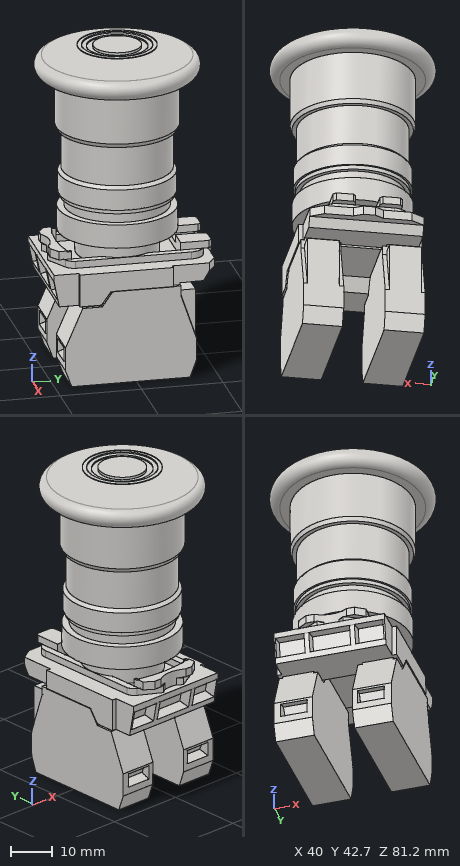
import cadquery as cq
import math


TOTAL_HEIGHT = 81.2
ADAPTER_TOP = 28.5
CLIP_PLATE_TOP = 30.3
ADAPTER_BOTTOM = 20.4
CONTACT_TOP = 23.55

HEAD_RADIUS = 20.0
HEAD_ROUND_RADIUS = 2.5
HEAD_BOTTOM = 73.4
RIM_OUTER_RADIUS = 9.6
RIM_INNER_RADIUS = 8.5
RIM_TOP = 80.95
CONE_TOP = 80.8
GROOVE_LEDGE_RADIUS = 7.4
GROOVE_LEDGE = 80.6
GROOVE_FLOOR = 80.3
LENS_RADIUS = 5.85
LENS_EDGE = 80.95

SKIRT_RADIUS = 15.0
SKIRT_BOTTOM = 60.0
SKIRT_CHAMFER_HEIGHT = 1.05
SKIRT_CHAMFER_WIDTH = 0.5
SLEEVE_RADIUS = 13.5
BEZEL_TOP = 49.85
BEZEL_RADIUS = 14.3
BEZEL_CHAMFER = 0.8
BEZEL_BOTTOM = 43.85
GASKET_RADIUS = 13.8
GASKET_BOTTOM = 42.8
NECK_RADIUS = 12.75
NUT_TOP = 40.2
NUT_RADIUS = 14.5
NUT_BOTTOM = 34.3
SHAFT_RADIUS = 10.15

CLIP_HALF_WIDTH = 10.3
CLIP_BACK = 19.5
CLIP_BACK_RADIUS = 3.6
CLIP_FRONT = -17.9
CLIP_FRONT_CURVE_START = -12.6
CLIP_FRONT_CORNER = (8.9, -14.7)
CLIP_FRONT_RADIUS = 2.85
CLIP_NOSE_HALF_WIDTH = 3.25
CLIP_NOTCH_HALF_WIDTH = 1.9
LUG_HALF_WIDTH = 8.45
BACK_LUG_TOP = 32.15
BACK_LUG_INNER = 2.9
BACK_LUG_FRONT = 13.65
BACK_LUG_BACK = 21.35
BACK_LUG_CHAMFER = (0.65, 0.8)
FRONT_LUG_INNER = 7.8
FRONT_LUG_BACK = -13.15
LEVER_TOP = 32.4
LEVER_BACK_SIDE = -14.2
LEVER_BACK_MIDDLE = -15.3
LEVER_CORNER_Y = -16.2
LEVER_FRONT_HALF_WIDTH = 6.1
SCALLOP_HALF_WIDTH = 4.1
SCALLOP_DEPTH = 1.2

ADAPTER_HALF_WIDTH = 13.9
ADAPTER_CHEEK_HALF_WIDTH = 15.0
ADAPTER_FRONT_TOP = -18.7
ADAPTER_FRONT_BOTTOM = -17.4
ADAPTER_BACK = 21.4
BACK_PLATE_THICKNESS = 2.2
BACK_SHOULDER = 19.4
BACK_CORNER_HALF_WIDTH = 10.6
BACK_FOOT = 18.0
BACK_UNDERSIDE = 24.0
STEP_TOP_Y = -4.95
STEP_BOTTOM_Y = -7.3
CHEEK_BACK = 10.4
CHEEK_FRONT = -12.6
TAB_TIP = 22.7
TAB_TIP_HALF_WIDTH = 1.5
TAB_BASE_HALF_WIDTH = 3.65
WINDOW_BOTTOM = 21.9
WINDOW_TOP = 26.9
WINDOW_DEPTH = 3.1
WINDOW_SPANS = ((-13.5, -6.3), (-5.1, 5.1), (6.3, 13.5))

CONTACT_OUTER = 14.8
CONTACT_INNER = 5.0
CONTACT_HALF_DEPTH = 16.1
CONTACT_FOOT_HALF_DEPTH = 14.5
CONTACT_FOOT_HEIGHT = 4.2
CONTACT_SHOULDER = 10.1
CONTACT_FRONT_TOP_Y = -11.85
CONTACT_BACK_TOP_Y = 12.3
CONTACT_BACK_SLOPE_TOP = 21.3
CONTACT_FRONT_TOP = 19.8
CONTACT_STEP_OFFSET = 0.5
CORE_OUTER = 13.9
CORE_INNER = 6.1
CORE_BACK_TOP = 22.2
CORE_TOP = 24.4
TERMINAL_OUTER = 13.0
TERMINAL_INNER = 6.3
TERMINAL_BOTTOM = 6.0
TERMINAL_TOP = 9.5
TERMINAL_FLOOR_RISE = 1.0
TERMINAL_DEPTH = 2.4
TERMINAL_SIDE_TAPER = 0.4


def box(x0, x1, y0, y1, z0, z1):
    """Axis-aligned box between two opposite corners."""
    return cq.Workplane("XY").box(x1 - x0, y1 - y0, z1 - z0, centered=False).translate((x0, y0, z0))


def side_profile(points, x0, x1):
    """Extrude a closed (Y, Z) outline from x0 to x1."""
    return cq.Workplane("YZ").polyline(points).close().extrude(x1 - x0).translate((x0, 0, 0))


def plan_profile(points, z0, z1):
    """Extrude a closed (X, Y) outline from z0 to z1."""
    return cq.Workplane("XY").workplane(offset=z0).polyline(points).close().extrude(z1 - z0)


def mirrored(points):
    """Complete an outline by adding the points mirrored in X, in reverse order."""
    return points + [(-x, y) for x, y in reversed(points)]


def both_sides(solid):
    """Join a solid with its mirror image across the YZ plane."""
    return solid.union(solid.mirror("YZ"))


def make_button():
    """Head, skirt, sleeve, bezel, nut and shaft as one turned body."""
    round_x = HEAD_RADIUS - HEAD_ROUND_RADIUS
    round_z = HEAD_BOTTOM + HEAD_ROUND_RADIUS
    run = round_x - RIM_OUTER_RADIUS
    rise = CONE_TOP - round_z
    reach = math.hypot(run, rise)
    tangent = math.atan2(rise, -run) - math.acos(HEAD_ROUND_RADIUS / reach)
    cone_end = (
        round_x + HEAD_ROUND_RADIUS * math.cos(tangent),
        round_z + HEAD_ROUND_RADIUS * math.sin(tangent),
    )
    skirt_chamfer_top = SKIRT_BOTTOM + SKIRT_CHAMFER_HEIGHT
    skirt_foot_radius = SKIRT_RADIUS - SKIRT_CHAMFER_WIDTH
    lens_rise = TOTAL_HEIGHT - LENS_EDGE
    lens_sphere = (LENS_RADIUS**2 + lens_rise**2) / (2 * lens_rise)
    half_radius = LENS_RADIUS / 2
    lens_middle = TOTAL_HEIGHT - lens_sphere + math.sqrt(lens_sphere**2 - half_radius**2)
    profile = (
        cq.Workplane("XZ")
        .moveTo(0, ADAPTER_TOP)
        .lineTo(SHAFT_RADIUS, ADAPTER_TOP)
        .lineTo(SHAFT_RADIUS, NUT_BOTTOM)
        .lineTo(NUT_RADIUS, NUT_BOTTOM)
        .lineTo(NUT_RADIUS, NUT_TOP)
        .lineTo(NECK_RADIUS, NUT_TOP)
        .lineTo(NECK_RADIUS, GASKET_BOTTOM)
        .lineTo(GASKET_RADIUS, GASKET_BOTTOM)
        .lineTo(GASKET_RADIUS, BEZEL_BOTTOM)
        .lineTo(BEZEL_RADIUS, BEZEL_BOTTOM)
        .lineTo(BEZEL_RADIUS, BEZEL_TOP - BEZEL_CHAMFER)
        .lineTo(SLEEVE_RADIUS, BEZEL_TOP)
        .lineTo(SLEEVE_RADIUS, SKIRT_BOTTOM)
        .lineTo(skirt_foot_radius, SKIRT_BOTTOM)
        .lineTo(SKIRT_RADIUS, skirt_chamfer_top)
        .lineTo(SKIRT_RADIUS, HEAD_BOTTOM)
        .lineTo(round_x, HEAD_BOTTOM)
        .threePointArc((HEAD_RADIUS, round_z), cone_end)
        .lineTo(RIM_OUTER_RADIUS, CONE_TOP)
        .lineTo(RIM_OUTER_RADIUS, RIM_TOP)
        .lineTo(RIM_INNER_RADIUS, RIM_TOP)
        .lineTo(RIM_INNER_RADIUS, GROOVE_LEDGE)
        .lineTo(GROOVE_LEDGE_RADIUS, GROOVE_LEDGE)
        .lineTo(GROOVE_LEDGE_RADIUS, GROOVE_FLOOR)
        .lineTo(LENS_RADIUS, GROOVE_FLOOR)
        .lineTo(LENS_RADIUS, LENS_EDGE)
        .threePointArc((half_radius, lens_middle), (0, TOTAL_HEIGHT))
        .close()
    )
    return profile.revolve(360, (0, 0, 0), (0, 1, 0))


def make_clip_plate():
    """Thin frame around the shaft with rounded back corners and a notched, tapered nose."""
    corner_x, corner_y = CLIP_FRONT_CORNER
    plate = (
        cq.Workplane("XY")
        .workplane(offset=ADAPTER_TOP)
        .moveTo(CLIP_NOSE_HALF_WIDTH, CLIP_FRONT)
        .lineTo(corner_x, corner_y)
        .radiusArc((CLIP_HALF_WIDTH, CLIP_FRONT_CURVE_START), -CLIP_FRONT_RADIUS)
        .lineTo(CLIP_HALF_WIDTH, CLIP_BACK - CLIP_BACK_RADIUS)
        .radiusArc((CLIP_HALF_WIDTH - CLIP_BACK_RADIUS, CLIP_BACK), -CLIP_BACK_RADIUS)
        .lineTo(0, CLIP_BACK)
        .lineTo(0, CLIP_FRONT)
        .close()
        .extrude(CLIP_PLATE_TOP - ADAPTER_TOP)
    )
    opening = (
        cq.Workplane("XY")
        .workplane(offset=ADAPTER_TOP)
        .moveTo(-LUG_HALF_WIDTH, LEVER_BACK_SIDE)
        .threePointArc((0, LEVER_BACK_MIDDLE), (LUG_HALF_WIDTH, LEVER_BACK_SIDE))
        .lineTo(LUG_HALF_WIDTH, BACK_LUG_FRONT)
        .lineTo(-LUG_HALF_WIDTH, BACK_LUG_FRONT)
        .close()
        .extrude(CLIP_PLATE_TOP - ADAPTER_TOP)
    )
    notch_back = CLIP_FRONT + SCALLOP_DEPTH
    scallop_radius = (SCALLOP_HALF_WIDTH**2 + SCALLOP_DEPTH**2) / (2 * SCALLOP_DEPTH)
    notch_side = notch_back - scallop_radius + math.sqrt(scallop_radius**2 - CLIP_NOTCH_HALF_WIDTH**2)
    notch = (
        cq.Workplane("XY")
        .workplane(offset=ADAPTER_TOP)
        .moveTo(CLIP_NOSE_HALF_WIDTH, CLIP_FRONT)
        .lineTo(CLIP_NOTCH_HALF_WIDTH, notch_side)
        .threePointArc((0, notch_back), (-CLIP_NOTCH_HALF_WIDTH, notch_side))
        .lineTo(-CLIP_NOSE_HALF_WIDTH, CLIP_FRONT)
        .close()
        .extrude(CLIP_PLATE_TOP - ADAPTER_TOP)
    )
    return both_sides(plate).cut(opening).cut(notch)


def make_back_lugs():
    """Pair of chamfered lugs at the back of the clip."""
    chamfer_x, chamfer_y = BACK_LUG_CHAMFER
    outline = [
        (BACK_LUG_INNER, BACK_LUG_FRONT),
        (LUG_HALF_WIDTH, BACK_LUG_FRONT),
        (LUG_HALF_WIDTH, BACK_LUG_BACK - chamfer_y),
        (LUG_HALF_WIDTH - chamfer_x, BACK_LUG_BACK),
        (BACK_LUG_INNER + chamfer_x, BACK_LUG_BACK),
        (BACK_LUG_INNER, BACK_LUG_BACK - chamfer_y),
    ]
    return both_sides(plan_profile(outline, CLIP_PLATE_TOP, BACK_LUG_TOP))


def make_front_lever():
    """Finger lever with a scalloped front, joined at its ends to two low lugs."""
    lever = (
        cq.Workplane("XY")
        .workplane(offset=CLIP_PLATE_TOP)
        .moveTo(-LUG_HALF_WIDTH, LEVER_BACK_SIDE)
        .threePointArc((0, LEVER_BACK_MIDDLE), (LUG_HALF_WIDTH, LEVER_BACK_SIDE))
        .lineTo(LUG_HALF_WIDTH, LEVER_CORNER_Y)
        .lineTo(LEVER_FRONT_HALF_WIDTH, CLIP_FRONT)
        .lineTo(SCALLOP_HALF_WIDTH, CLIP_FRONT)
        .threePointArc((0, CLIP_FRONT + SCALLOP_DEPTH), (-SCALLOP_HALF_WIDTH, CLIP_FRONT))
        .lineTo(-LEVER_FRONT_HALF_WIDTH, CLIP_FRONT)
        .lineTo(-LUG_HALF_WIDTH, LEVER_CORNER_Y)
        .close()
        .extrude(LEVER_TOP - CLIP_PLATE_TOP)
    )
    lug_front = CLIP_FRONT_CORNER[1]
    lug = box(
        FRONT_LUG_INNER, LUG_HALF_WIDTH, lug_front, FRONT_LUG_BACK, ADAPTER_TOP, BACK_LUG_TOP
    )
    return lever.union(both_sides(lug))


def make_adapter():
    """Adapter block with side cheeks, a back plate with a tab and three front windows."""
    back_plate_bottom = ADAPTER_TOP - BACK_PLATE_THICKNESS
    core = side_profile(
        [
            (ADAPTER_FRONT_TOP, WINDOW_TOP),
            (ADAPTER_FRONT_TOP, ADAPTER_TOP),
            (BACK_SHOULDER, ADAPTER_TOP),
            (BACK_SHOULDER, back_plate_bottom),
            (BACK_FOOT, BACK_UNDERSIDE),
            (STEP_TOP_Y, BACK_UNDERSIDE),
            (STEP_BOTTOM_Y, ADAPTER_BOTTOM),
            (ADAPTER_FRONT_BOTTOM, ADAPTER_BOTTOM),
        ],
        -ADAPTER_HALF_WIDTH,
        ADAPTER_HALF_WIDTH,
    )
    cheeks = side_profile(
        [
            (CHEEK_FRONT, ADAPTER_TOP),
            (CHEEK_BACK, ADAPTER_TOP),
            (CHEEK_BACK, CONTACT_TOP),
            (STEP_TOP_Y, CONTACT_TOP),
            (STEP_BOTTOM_Y, ADAPTER_BOTTOM),
            (CHEEK_FRONT, ADAPTER_BOTTOM),
        ],
        -ADAPTER_CHEEK_HALF_WIDTH,
        ADAPTER_CHEEK_HALF_WIDTH,
    )
    back_plate = plan_profile(
        mirrored(
            [
                (ADAPTER_HALF_WIDTH, BACK_SHOULDER),
                (BACK_CORNER_HALF_WIDTH, ADAPTER_BACK),
                (TAB_BASE_HALF_WIDTH, ADAPTER_BACK),
                (TAB_TIP_HALF_WIDTH, TAB_TIP),
            ]
        ),
        back_plate_bottom,
        ADAPTER_TOP,
    )
    adapter = core.union(cheeks).union(back_plate)

    lean = math.atan((ADAPTER_FRONT_BOTTOM - ADAPTER_FRONT_TOP) / (WINDOW_TOP - ADAPTER_BOTTOM))
    depth_y = WINDOW_DEPTH * math.cos(lean)
    depth_z = WINDOW_DEPTH * math.sin(lean)
    bottom_y = ADAPTER_FRONT_TOP + math.tan(lean) * (WINDOW_TOP - WINDOW_BOTTOM)
    window = [
        (ADAPTER_FRONT_TOP, WINDOW_TOP),
        (ADAPTER_FRONT_TOP + depth_y, WINDOW_TOP + depth_z),
        (bottom_y + depth_y, WINDOW_BOTTOM + depth_z),
        (bottom_y, WINDOW_BOTTOM),
    ]
    for x0, x1 in WINDOW_SPANS:
        adapter = adapter.cut(side_profile(window, x0, x1))
    return adapter


def make_contact_block():
    """Contact block on the +X side."""
    shell = side_profile(
        [
            (-CONTACT_FOOT_HALF_DEPTH, 0),
            (CONTACT_FOOT_HALF_DEPTH, 0),
            (CONTACT_HALF_DEPTH, CONTACT_FOOT_HEIGHT),
            (CONTACT_HALF_DEPTH, CONTACT_SHOULDER),
            (CONTACT_BACK_TOP_Y, CONTACT_BACK_SLOPE_TOP),
            (CONTACT_BACK_TOP_Y, CONTACT_TOP),
            (STEP_TOP_Y + CONTACT_STEP_OFFSET, CONTACT_TOP),
            (STEP_BOTTOM_Y + CONTACT_STEP_OFFSET / 2, CONTACT_FRONT_TOP),
            (CONTACT_FRONT_TOP_Y, CONTACT_FRONT_TOP),
            (-CONTACT_HALF_DEPTH, CONTACT_SHOULDER),
            (-CONTACT_HALF_DEPTH, CONTACT_FOOT_HEIGHT),
        ],
        CONTACT_INNER,
        CONTACT_OUTER,
    )
    slope = (CONTACT_HALF_DEPTH + CONTACT_FRONT_TOP_Y) / (CONTACT_FRONT_TOP - CONTACT_SHOULDER)
    plug_front = CONTACT_FRONT_TOP_Y + slope * (ADAPTER_BOTTOM - CONTACT_FRONT_TOP)
    plug = side_profile(
        [
            (CONTACT_FRONT_TOP_Y, CONTACT_FRONT_TOP),
            (plug_front, ADAPTER_BOTTOM),
            (plug_front, CORE_TOP),
            (CONTACT_BACK_TOP_Y, CORE_TOP),
            (CONTACT_BACK_TOP_Y, CONTACT_FRONT_TOP),
        ],
        CORE_INNER,
        CORE_OUTER,
    )
    back_fill = box(
        CORE_INNER,
        CORE_OUTER,
        CONTACT_BACK_TOP_Y,
        CONTACT_HALF_DEPTH,
        CONTACT_FOOT_HEIGHT,
        CORE_BACK_TOP,
    )

    front = -CONTACT_HALF_DEPTH
    back = front + TERMINAL_DEPTH
    floor_back = TERMINAL_BOTTOM + TERMINAL_FLOOR_RISE
    overhang = (TERMINAL_TOP - floor_back) * TERMINAL_FLOOR_RISE / TERMINAL_DEPTH
    pocket = side_profile(
        [
            (front, TERMINAL_BOTTOM),
            (front, TERMINAL_TOP),
            (back - overhang, TERMINAL_TOP),
            (back, floor_back),
        ],
        TERMINAL_INNER,
        TERMINAL_OUTER,
    )
    taper = plan_profile(
        [
            (TERMINAL_INNER, front),
            (TERMINAL_OUTER, front),
            (TERMINAL_OUTER - TERMINAL_SIDE_TAPER, back),
            (TERMINAL_INNER, back),
        ],
        TERMINAL_BOTTOM,
        TERMINAL_TOP,
    )
    return shell.union(plug).union(back_fill).cut(pocket.intersect(taper))


result = (
    make_adapter()
    .union(both_sides(make_contact_block()))
    .union(make_clip_plate())
    .union(make_back_lugs())
    .union(make_front_lever())
    .union(make_button())
)